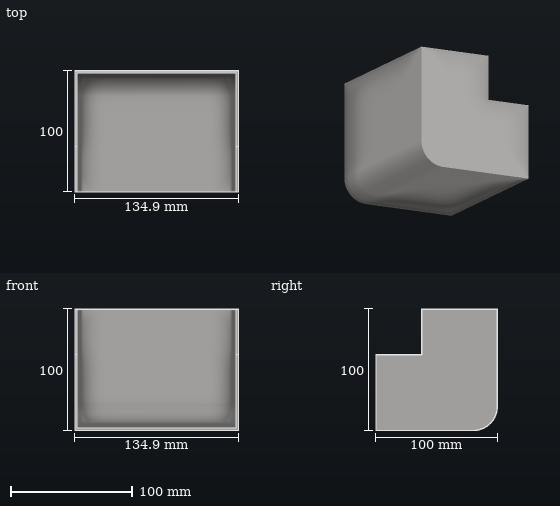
import cadquery as cq

width = 134.9
leg_length = 100.0
leg_depth = 62.5
wall = 2.0
outer_radius = 20.0
inner_radius = outer_radius - wall


def elbow_outline():
    """L-shaped side outline in the YZ plane, corner at +Y / -Z, before rounding."""
    return (
        cq.Workplane("YZ")
        .moveTo(0, 0)
        .lineTo(leg_length, 0)
        .lineTo(leg_length, leg_length)
        .lineTo(leg_length - leg_depth, leg_length)
        .lineTo(leg_length - leg_depth, leg_depth)
        .lineTo(0, leg_depth)
        .close()
    )


def make_body():
    """Solid elbow, centred on X, with its outer corner rounded."""
    body = elbow_outline().extrude(width / 2, both=True)
    return body.edges("|X").edges(">Y and <Z").fillet(outer_radius)


def make_cavity():
    """Space between the walls, open toward -Y and +Z."""
    inner_width = width - 2 * wall
    inner_length = leg_length - wall
    cavity = cq.Workplane("XY").box(
        inner_width, inner_length, inner_length, centered=(True, False, False)
    )
    cavity = cavity.translate((0, 0, wall))
    return cavity.edges("|X").edges(">Y and <Z").fillet(inner_radius)


result = make_body().cut(make_cavity())